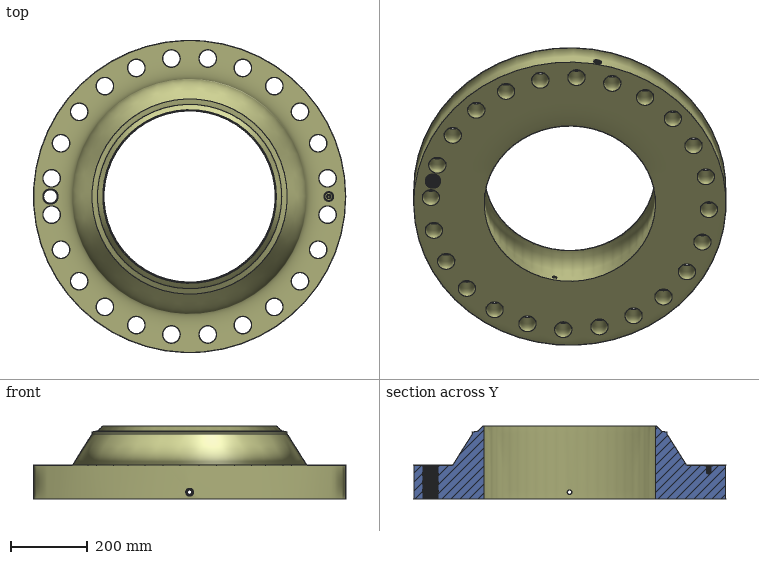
import cadquery as cq
import math

flange_diameter = 813
flange_thickness = 89.0
overall_height = 190.0
bore_diameter = 445.5
hub_base_diameter = 610
hub_base_fillet = 3.0
neck_diameter = 508.0
neck_start_height = 169.0
neck_edge_height = 175.0
bevel_root_diameter = 479.5
bevel_root_height = 177.0
weld_face_diameter = 452.0

bolt_count = 24
bolt_circle_diameter = 724.0
bolt_hole_diameter = 45.0

thread_pitch = 2.5
jack_major_diameter = 40.0
jack_minor_diameter = 35.0

spotface_diameter = 25.0
spotface_floor_diameter = 20.0
spotface_depth = 2.0
ground_major_diameter = 11.0
ground_minor_diameter = 8.0
ground_thread_depth = 19.5
drill_point_angle = 118

tap_height = 18.0
tap_hole_diameter = 11.0
tap_major_diameter = 20.0
tap_minor_diameter = 16.0
tap_thread_depth = 23.0


def flange_body():
    """Flange ring, conical hub and bevelled weld end as one revolved section."""
    section = [
        (bore_diameter / 2, 0),
        (flange_diameter / 2, 0),
        (flange_diameter / 2, flange_thickness),
        (hub_base_diameter / 2, flange_thickness),
        (neck_diameter / 2, neck_start_height),
        (neck_diameter / 2, neck_edge_height),
        (bevel_root_diameter / 2, bevel_root_height),
        (weld_face_diameter / 2, overall_height),
        (bore_diameter / 2, overall_height),
    ]
    body = cq.Workplane("XZ").polyline(section).close().revolve(360, (0, 0), (0, 1))
    second_largest_circle = cq.selectors.RadiusNthSelector(-2)
    return body.edges("%CIRCLE").edges(second_largest_circle).fillet(hub_base_fillet)


def threaded_cutter(major_diameter, minor_diameter, depth, tip_depth=0):
    """Cutter from the origin down -Z: V-grooved wall, flat or conical end."""
    groove_count = round(depth / thread_pitch)
    pitch = depth / groove_count
    wall = []
    for groove in range(groove_count):
        wall.append((major_diameter / 2, -groove * pitch))
        wall.append((minor_diameter / 2, -(groove + 0.5) * pitch))
    wall.append((major_diameter / 2, -depth))
    if tip_depth > 0:
        wall.append((minor_diameter / 2, -depth))
    section = [(0, 0)] + wall + [(0, -depth - tip_depth)]
    return cq.Workplane("XZ").polyline(section).close().revolve(360, (0, 0), (0, 1))


def bolt_holes():
    half_pitch = 180 / bolt_count
    return (
        cq.Workplane("XY")
        .polarArray(bolt_circle_diameter / 2, half_pitch, 360, bolt_count)
        .circle(bolt_hole_diameter / 2)
        .extrude(flange_thickness)
    )


def jack_screw_hole():
    """Threaded through hole on the -X side of the bolt circle."""
    cutter = threaded_cutter(jack_major_diameter, jack_minor_diameter, flange_thickness)
    return cutter.translate((-bolt_circle_diameter / 2, 0, flange_thickness))


def grounding_hole():
    """Blind threaded hole in a shallow conical spotface on the +X side."""
    tip_depth = ground_minor_diameter / 2 / math.tan(math.radians(drill_point_angle / 2))
    thread = threaded_cutter(
        ground_major_diameter, ground_minor_diameter, ground_thread_depth, tip_depth
    )
    spotface = (
        cq.Workplane("XY")
        .circle(spotface_diameter / 2)
        .workplane(offset=-spotface_depth)
        .circle(spotface_floor_diameter / 2)
        .loft()
    )
    cutter = spotface.union(thread.translate((0, 0, -spotface_depth)))
    return cutter.translate((bolt_circle_diameter / 2, 0, flange_thickness))


def pressure_tap(side_angle):
    """Small radial hole to the bore with a threaded mouth in the flange rim."""
    rim_radius = flange_diameter / 2
    mouth = threaded_cutter(tap_major_diameter, tap_minor_diameter, tap_thread_depth)
    passage = cq.Workplane("XY").circle(tap_hole_diameter / 2).extrude(-rim_radius)
    return (
        mouth.union(passage)
        .translate((0, 0, rim_radius))
        .rotate((0, 0, 0), (1, 0, 0), side_angle)
        .translate((0, 0, tap_height))
    )


result = flange_body().cut(bolt_holes()).cut(jack_screw_hole()).cut(grounding_hole())
for side_angle in (90, -90):
    result = result.cut(pressure_tap(side_angle))